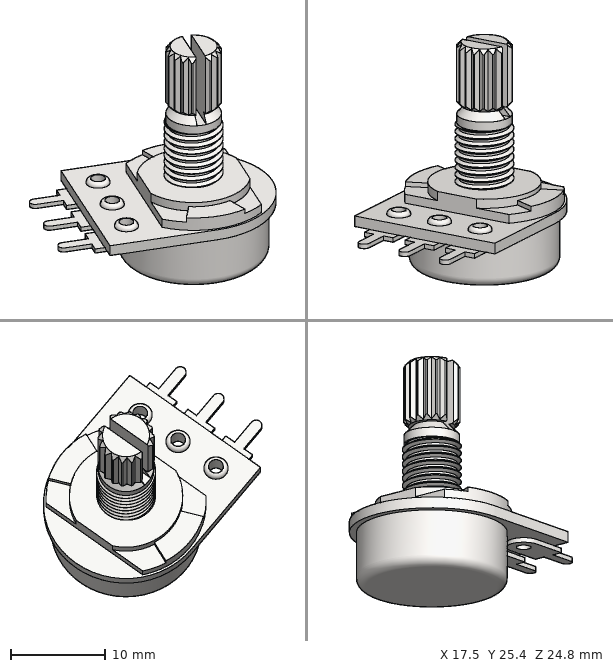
import cadquery as cq
import math


can_diameter = 16.0
can_height = 6.0
can_wall = 1.0
can_bottom_round = can_wall
can_notch_width = 10.01
can_notch_depth = 1.0

board_radius = 8.75
board_thickness = 1.2
board_front = 12.0

terminal_count = 3
terminal_spacing = 5.07
terminal_thickness = 0.5
terminal_width = 3.6
terminal_shoulder = 13.05
terminal_end = 16.6
pin_width = 1.25
rivet_offset = 9.02
rivet_diameter = 2.55
rivet_bore = 1.55
rivet_head_height = 0.5

flange_diameter = 16.98
flange_width = 11.0
flange_height = 1.0
pad_height = 0.5
pad_angle = 45.0
hub_diameter = 12.02
hub_height = 2.0
thread_length = 6.6
thread_turns = 8.25
thread_crest_diameter = 6.25
thread_root_diameter = 5.4
thread_ridge_width = 0.55
thread_crest_width = 0.05
thread_start = 0.33
thread_overlap = 0.13

collar_diameter = 5.9
collar_height = 1.0
cone_top_diameter = 4.0
cone_height = 1.0
spline_length = 7.02
spline_teeth = 18
spline_tip_radius = 3.0
spline_valley_radius = 2.55
spline_tip_width = 0.15
spline_chamfer = 0.5
slot_width = 1.01

board_bottom = can_height
board_top = board_bottom + board_thickness
hub_top = board_top + hub_height
collar_bottom = hub_top + thread_length
collar_top = collar_bottom + collar_height
spline_bottom = collar_top + cone_height


def cylinder(diameter, height, bottom):
    """Cylinder on the shaft axis."""
    return cq.Workplane("XY", origin=(0, 0, bottom)).circle(diameter / 2).extrude(height)


def make_can():
    cup = cylinder(can_diameter, can_height, 0).faces("<Z").edges().fillet(can_bottom_round)
    cavity = cylinder(can_diameter - 2 * can_wall, can_height - can_wall, can_wall)
    notch = (
        cq.Workplane("XY", origin=(0, 0, can_height - can_notch_depth))
        .rect(can_notch_width, can_diameter / 2, centered=(True, False))
        .extrude(can_notch_depth)
        .rotate((0, 0, 0), (0, 0, 1), 180)
    )
    return cup.cut(cavity).cut(notch)


def terminal_positions():
    first = -terminal_spacing * (terminal_count - 1) / 2
    return [first + i * terminal_spacing for i in range(terminal_count)]


def make_board():
    outline = (
        cq.Workplane("XY", origin=(0, 0, board_bottom))
        .moveTo(board_radius, 0)
        .threePointArc((0, board_radius), (-board_radius, 0))
        .lineTo(-board_radius, -board_front)
        .lineTo(board_radius, -board_front)
        .close()
    )
    rivet_holes = (
        cq.Workplane("XY", origin=(0, 0, board_bottom))
        .pushPoints([(x, -rivet_offset) for x in terminal_positions()])
        .circle(rivet_diameter / 2)
        .extrude(board_thickness)
    )
    return outline.extrude(board_thickness).cut(rivet_holes)


def make_terminal(x):
    """Flat lug under the board, with a hollow rivet that passes through the board."""
    lug_plane = cq.Workplane("XY", origin=(x, 0, board_bottom - terminal_thickness))
    eye = lug_plane.center(0, -rivet_offset).circle(terminal_width / 2).extrude(terminal_thickness)
    wide_length = terminal_shoulder - rivet_offset
    wide_part = (
        lug_plane.center(0, -rivet_offset - wide_length / 2)
        .rect(terminal_width, wide_length)
        .extrude(terminal_thickness)
    )
    pin_length = terminal_end - pin_width / 2 - terminal_shoulder
    pin = (
        lug_plane.center(0, -terminal_shoulder - pin_length / 2)
        .rect(pin_width, pin_length)
        .extrude(terminal_thickness)
    )
    pin_tip = (
        lug_plane.center(0, -terminal_shoulder - pin_length)
        .circle(pin_width / 2)
        .extrude(terminal_thickness)
    )
    rivet_plane = cq.Workplane("XY", origin=(x, -rivet_offset, board_bottom))
    rivet = (
        rivet_plane.circle(rivet_diameter / 2)
        .extrude(board_thickness + rivet_head_height)
        .faces(">Z")
        .edges()
        .fillet((rivet_diameter - rivet_bore) / 2)
    )
    bore = (
        rivet_plane.workplane(offset=-terminal_thickness)
        .circle(rivet_bore / 2)
        .extrude(terminal_thickness + board_thickness + rivet_head_height)
    )
    return eye.union(wide_part).union(pin).union(pin_tip).union(rivet).cut(bore)


def make_flange():
    flange = cylinder(flange_diameter, flange_height, board_top)
    pad_reach = flange_diameter
    half_spread = pad_reach * math.tan(math.radians(pad_angle / 2))
    pad_sectors = (
        cq.Workplane("XY", origin=(0, 0, board_top))
        .polyline([(0, 0), (pad_reach, -half_spread), (pad_reach, half_spread)])
        .close()
        .polyline([(0, 0), (-pad_reach, half_spread), (-pad_reach, -half_spread)])
        .close()
        .extrude(flange_height + pad_height)
    )
    pads = cylinder(flange_diameter, flange_height + pad_height, board_top).intersect(pad_sectors)
    hub = cylinder(hub_diameter, hub_height, board_top)
    between_flats = (
        cq.Workplane("XY", origin=(0, 0, board_top))
        .rect(flange_diameter, flange_width)
        .extrude(hub_height)
    )
    return flange.union(pads).union(hub).intersect(between_flats)


def make_thread():
    """Threaded sleeve: a core with a right-hand helical ridge, trimmed flat at both ends."""
    pitch = thread_length / thread_turns
    core_radius = thread_root_diameter / 2
    crest_radius = thread_crest_diameter / 2
    inner_radius = core_radius - thread_overlap
    first_crest = hub_top + thread_start - pitch
    helix = cq.Wire.makeHelix(
        pitch, thread_length + 2 * pitch, core_radius, center=cq.Vector(0, 0, first_crest)
    )
    flank_slope = (thread_ridge_width - thread_crest_width) / 2 / (crest_radius - core_radius)
    inner_half = thread_ridge_width / 2 + thread_overlap * flank_slope
    crest_half = thread_crest_width / 2
    ridge = (
        cq.Workplane("XZ", origin=(0, 0, first_crest))
        .polyline([
            (inner_radius, -inner_half),
            (crest_radius, -crest_half),
            (crest_radius, crest_half),
            (inner_radius, inner_half),
        ])
        .close()
        .sweep(cq.Workplane(helix), isFrenet=True)
    )
    trim = cylinder(2 * thread_crest_diameter, thread_length, hub_top)
    return cylinder(thread_root_diameter, thread_length, hub_top).union(ridge.intersect(trim))


def make_bushing():
    return make_flange().union(make_thread())


def make_spline():
    """Toothed end of the shaft, with a valley at +Y and -Y and both ends chamfered."""
    tip_half_angle = spline_tip_width / 2 / spline_tip_radius
    tooth_angle = 2 * math.pi / spline_teeth
    corners = []
    for i in range(spline_teeth):
        tooth = i * tooth_angle
        for radius, angle in (
            (spline_tip_radius, tooth - tip_half_angle),
            (spline_tip_radius, tooth + tip_half_angle),
            (spline_valley_radius, tooth + tooth_angle / 2),
        ):
            corners.append((radius * math.cos(angle), radius * math.sin(angle)))
    teeth = cq.Workplane("XY", origin=(0, 0, spline_bottom)).polyline(corners).close().extrude(spline_length)
    chamfered_blank = (
        cylinder(2 * spline_tip_radius, spline_length, spline_bottom)
        .edges()
        .chamfer(spline_chamfer)
    )
    return teeth.intersect(chamfered_blank)


def make_shaft():
    collar = cylinder(collar_diameter, collar_height, collar_bottom)
    cone = (
        cq.Workplane("XY", origin=(0, 0, collar_top))
        .circle(collar_diameter / 2)
        .workplane(offset=cone_height)
        .circle(cone_top_diameter / 2)
        .loft()
    )
    slot = (
        cq.Workplane("XY", origin=(0, 0, collar_top))
        .rect(2 * spline_tip_radius, slot_width)
        .extrude(cone_height + spline_length)
    )
    return collar.union(cone).union(make_spline()).cut(slot)


can = make_can()
board = make_board()
terminals = [make_terminal(x) for x in terminal_positions()]
bushing = make_bushing()
shaft = make_shaft()

bodies = [can, board, *terminals, bushing, shaft]
result = cq.Compound.makeCompound([body.solids().val() for body in bodies])